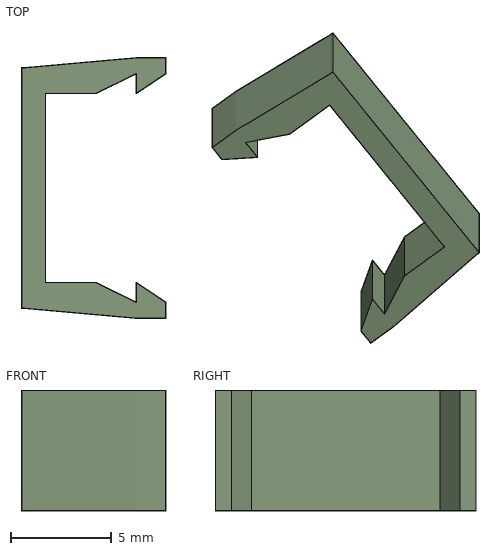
import cadquery as cq

length_x = 7.2
width_y = 13.0
height_z = 6.0

wall_thickness = 1.2
back_half_width = 6.0
corner_land = 0.17

half_width = width_y / 2
inner_half_width = 4.7
taper_end_x = 5.72
ramp_start_x = 3.7
tip_thickness = 0.8

catch_half_width = half_width - tip_thickness

half_outline = [
    (0, back_half_width),
    (corner_land, back_half_width),
    (taper_end_x, half_width),
    (length_x, half_width),
    (length_x, catch_half_width),
    (taper_end_x, inner_half_width),
    (taper_end_x, catch_half_width),
    (ramp_start_x, inner_half_width),
    (wall_thickness, inner_half_width),
]
mirrored_outline = [(x, -y) for x, y in reversed(half_outline)]

result = (
    cq.Workplane("XY")
    .polyline(half_outline + mirrored_outline)
    .close()
    .extrude(height_z)
)